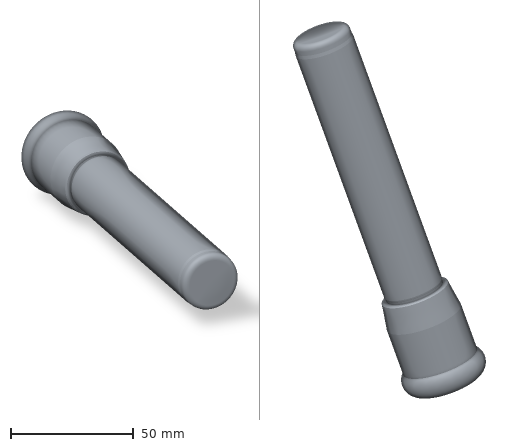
import cadquery as cq
import math

overall_length = 160.0
start_x = -overall_length / 2

ring_outer_diameter = 35.8
ring_section_radius = 6.0
sleeve_diameter = 32.0
collar_end_diameter = 28.5
collar_chamfer = 0.5
dimple_depth = 5.6
sleeve_end_x = start_x + 30.4
collar_end_x = start_x + 42.0

grip_diameter = 25.0
stub_diameter = 24.5
front_taper_start_x = start_x + 43.0
grip_start_x = start_x + 44.0
grip_end_x = start_x + 154.2
back_taper_end_x = start_x + 155.7
shaft_end_x = start_x + overall_length
shaft_end_fillet = 2.4


def make_head():
    """Revolve the head, whose ring surrounds a flat-bottomed round dimple."""
    ring_center_radius = ring_outer_diameter / 2 - ring_section_radius
    ring_center_x = start_x + ring_section_radius
    back_rise = sleeve_diameter / 2 - ring_center_radius
    ring_back_x = ring_center_x + math.sqrt(ring_section_radius**2 - back_rise**2)
    floor_offset = dimple_depth - ring_section_radius
    floor_radius = ring_center_radius - math.sqrt(ring_section_radius**2 - floor_offset**2)

    profile = (
        cq.Workplane("XY")
        .moveTo(start_x + dimple_depth, 0)
        .lineTo(start_x + dimple_depth, floor_radius)
        .threePointArc((start_x, ring_center_radius), (ring_back_x, sleeve_diameter / 2))
        .lineTo(sleeve_end_x, sleeve_diameter / 2)
        .lineTo(collar_end_x, collar_end_diameter / 2)
        .lineTo(collar_end_x, 0)
        .close()
    )
    head_body = profile.revolve(360, (0, 0, 0), (1, 0, 0))
    return head_body.faces(">X").edges().chamfer(collar_chamfer)


def make_shaft():
    """Revolve the shaft, which butts against the end face of the collar."""
    profile = (
        cq.Workplane("XY")
        .moveTo(collar_end_x, 0)
        .lineTo(collar_end_x, stub_diameter / 2)
        .lineTo(front_taper_start_x, stub_diameter / 2)
        .lineTo(grip_start_x, grip_diameter / 2)
        .lineTo(grip_end_x, grip_diameter / 2)
        .lineTo(back_taper_end_x, stub_diameter / 2)
        .lineTo(shaft_end_x, stub_diameter / 2)
        .lineTo(shaft_end_x, 0)
        .close()
    )
    shaft_body = profile.revolve(360, (0, 0, 0), (1, 0, 0))
    return shaft_body.faces(">X").edges().fillet(shaft_end_fillet)


head = make_head()
shaft = make_shaft()

result = cq.Compound.makeCompound([head.val(), shaft.val()])